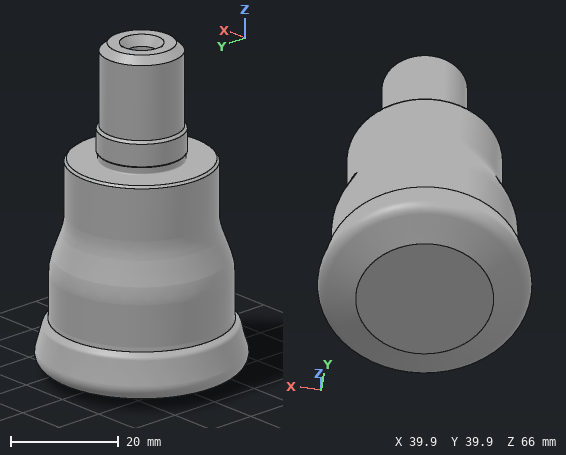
import cadquery as cq
import math

TOTAL_HEIGHT = 66.0

NECK_TOP = 42.9
NECK_RADIUS = 29.0 / 2
NECK_CHAMFER = 0.45
NECK_BOTTOM = 31.9
SHOULDER_ANGLE = math.radians(20)
SHOULDER_CONE_TOP = 28.25
SHOULDER_CONE_BOTTOM = 23.6
BARREL_RADIUS = 17.35
BARREL_TOP = 20.25
BARREL_BOTTOM = 11.8

SPIGOT_RADIUS = 34.9 / 2
SPIGOT_BOTTOM = 7.4

SHANK_RADIUS = 16.0 / 2
TIP_CHAMFER = 1.5
COLLAR_RADIUS = 17.0 / 2
COLLAR_TOP = 49.0
COLLAR_BOTTOM = 44.5
STEM_RADIUS = 16.5 / 2

RELIEF_RADIUS = 9.4
RELIEF_DEPTH = 0.2
STEM_FILLET = 0.3

HOLE_RADIUS = 6.0 / 2
HOLE_DEPTH = 9.9
HOLE_MOUTH_RADIUS = 4.15
HOLE_MOUTH_ANGLE = math.radians(30)
DRILL_HALF_ANGLE = math.radians(59)

FOOT_RADIUS = 39.9 / 2
FOOT_WIDEST_Z = 4.35
RIM_FILLET = 2.5
FLARE_ANGLE = math.radians(15)
FLARE_TOP = 9.8
FOOT_TOP = 11.0
LEDGE_BOTTOM = 10.35
LEDGE_BOTTOM_RADIUS = 18.2
UNDERSIDE_ANGLE = math.radians(20)


def revolve_z(profile):
    """Close a radius-height profile and turn it about the Z axis."""
    return profile.close().revolve(360, (0, 0, 0), (0, 1, 0))


def make_body():
    cone_growth = (SHOULDER_CONE_TOP - SHOULDER_CONE_BOTTOM) * math.tan(SHOULDER_ANGLE)
    upper_blend_height = NECK_BOTTOM - SHOULDER_CONE_TOP
    lower_blend_height = SHOULDER_CONE_BOTTOM - BARREL_TOP
    blend_growth = BARREL_RADIUS - NECK_RADIUS - cone_growth
    upper_share = upper_blend_height / (upper_blend_height + lower_blend_height)
    cone_top_radius = NECK_RADIUS + blend_growth * upper_share
    cone_bottom_radius = cone_top_radius + cone_growth

    relief_bottom = NECK_TOP - RELIEF_DEPTH
    collar_chamfer = COLLAR_RADIUS - SHANK_RADIUS
    collar_undercut = COLLAR_RADIUS - STEM_RADIUS

    profile = (
        cq.Workplane("XZ")
        .moveTo(0, SPIGOT_BOTTOM)
        .lineTo(0, TOTAL_HEIGHT)
        .lineTo(SHANK_RADIUS - TIP_CHAMFER, TOTAL_HEIGHT)
        .lineTo(SHANK_RADIUS, TOTAL_HEIGHT - TIP_CHAMFER)
        .lineTo(SHANK_RADIUS, COLLAR_TOP + collar_chamfer)
        .lineTo(COLLAR_RADIUS, COLLAR_TOP)
        .lineTo(COLLAR_RADIUS, COLLAR_BOTTOM)
        .lineTo(STEM_RADIUS, COLLAR_BOTTOM - collar_undercut)
        .lineTo(STEM_RADIUS, relief_bottom + STEM_FILLET)
        .tangentArcPoint((STEM_RADIUS + STEM_FILLET, relief_bottom), relative=False)
        .lineTo(RELIEF_RADIUS, NECK_TOP)
        .lineTo(NECK_RADIUS - NECK_CHAMFER, NECK_TOP)
        .lineTo(NECK_RADIUS, NECK_TOP - NECK_CHAMFER)
        .lineTo(NECK_RADIUS, NECK_BOTTOM)
        .tangentArcPoint((cone_top_radius, SHOULDER_CONE_TOP), relative=False)
        .lineTo(cone_bottom_radius, SHOULDER_CONE_BOTTOM)
        .tangentArcPoint((BARREL_RADIUS, BARREL_TOP), relative=False)
        .lineTo(BARREL_RADIUS, BARREL_BOTTOM)
        .lineTo(SPIGOT_RADIUS, FOOT_TOP)
        .lineTo(SPIGOT_RADIUS, SPIGOT_BOTTOM)
    )
    return revolve_z(profile).cut(make_tip_hole())


def make_tip_hole():
    """Drilled hole with a conical mouth and a pointed bottom."""
    mouth_depth = (HOLE_MOUTH_RADIUS - HOLE_RADIUS) / math.tan(HOLE_MOUTH_ANGLE)
    hole_bottom = TOTAL_HEIGHT - HOLE_DEPTH
    hole_point = hole_bottom - HOLE_RADIUS / math.tan(DRILL_HALF_ANGLE)
    profile = (
        cq.Workplane("XZ")
        .moveTo(0, TOTAL_HEIGHT)
        .lineTo(HOLE_MOUTH_RADIUS, TOTAL_HEIGHT)
        .lineTo(HOLE_RADIUS, TOTAL_HEIGHT - mouth_depth)
        .lineTo(HOLE_RADIUS, hole_bottom)
        .lineTo(0, hole_point)
    )
    return revolve_z(profile)


def make_foot():
    rim_center = FOOT_RADIUS - RIM_FILLET
    flare_bottom_radius = rim_center + RIM_FILLET * math.cos(FLARE_ANGLE)
    flare_bottom = FOOT_WIDEST_Z + RIM_FILLET * math.sin(FLARE_ANGLE)
    flare_top_radius = flare_bottom_radius - (FLARE_TOP - flare_bottom) * math.tan(FLARE_ANGLE)
    underside_radius = rim_center + RIM_FILLET * math.sin(UNDERSIDE_ANGLE)
    underside_top = FOOT_WIDEST_Z - RIM_FILLET * math.cos(UNDERSIDE_ANGLE)
    base_radius = underside_radius - underside_top / math.tan(UNDERSIDE_ANGLE)

    profile = (
        cq.Workplane("XZ")
        .moveTo(0, SPIGOT_BOTTOM)
        .lineTo(SPIGOT_RADIUS, SPIGOT_BOTTOM)
        .lineTo(SPIGOT_RADIUS, FOOT_TOP)
        .lineTo(LEDGE_BOTTOM_RADIUS, LEDGE_BOTTOM)
        .tangentArcPoint((flare_top_radius, FLARE_TOP), relative=False)
        .lineTo(flare_bottom_radius, flare_bottom)
        .threePointArc((FOOT_RADIUS, FOOT_WIDEST_Z), (underside_radius, underside_top))
        .lineTo(base_radius, 0)
        .lineTo(0, 0)
    )
    return revolve_z(profile)


body = make_body()
foot = make_foot()
result = cq.Compound.makeCompound([body.val(), foot.val()])